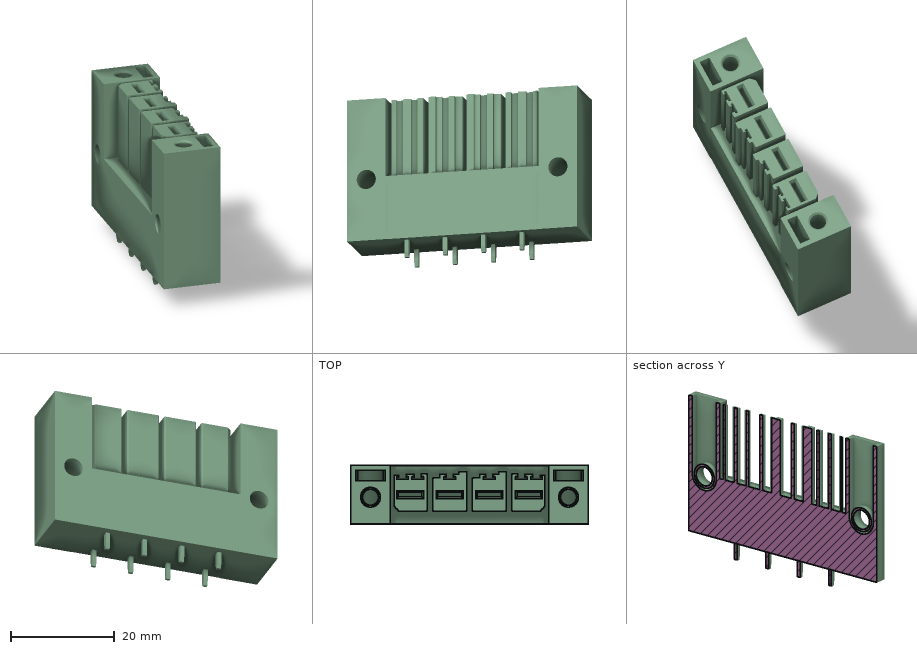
import cadquery as cq

ways = 4
overall_length = 45.7
pitch = overall_length / (ways + 2)
depth = 11.4
overall_height = 31.5
housing_height = 28.05
base_height = 12.57
back_relief = 0.1

cross_hole_dia = 3.8
cross_hole_height = 12.1
sleeve_radius = 2.45
screw_hole_dia = 3.1
screw_hole_y = -0.5
screw_hole_chamfer = 0.345
nut_pocket_width = 5.7
nut_pocket_depth = 2.1
nut_pocket_inset = 0.95

post_width = 6.55
outer_post_edge = 3.05
post_front = -3.25
post_front_chamfer = 0.95
post_corner_radius = 0.27
coding_corner_radius = 0.2

coding_groove_floor = 2.93
coding_lip_tip = 3.35
coding_lip_root = 3.5
coding_wall_chamfer = 0.2
coding_neck_width = 1.35
coding_groove_width = 2.3
coding_middle = 3.9
outer_groove_offset = 1.45
outer_post_low = 3.75
outer_post_high = 4.02
inner_post_low = 3.2
inner_post_high = 4.45
inner_post_low_step = -1.87
inner_post_high_step = 1.8

slot_length = 5.2
slot_width = 1.55
slot_lead_in = 0.3
slot_lead_in_depth = 0.75
slot_depth = 4.55

pin_thickness = 0.82
pin_width = 1.0
pin_row_spacing = 7.5
pin_tip_length = 1.05
pin_tip_width = 0.6

back = depth / 2
post_half_width = post_width / 2
contact_xs = [(i - (ways - 1) / 2) * pitch for i in range(ways)]
end_block_xs = [side * (overall_length - pitch) / 2 for side in (-1, 1)]
pin_length = overall_height - housing_height


def block(x_size, y_min, y_max, z_min, z_max, x_center=0.0):
    """Upright box centred on x_center, given by its limits in Y and Z."""
    return (
        cq.Workplane("XY")
        .box(x_size, y_max - y_min, z_max - z_min, centered=(True, False, False))
        .translate((x_center, y_min, z_min))
    )


def y_cylinder(x, radius, y_min=-back, y_max=back):
    """Cylinder along Y on the cross hole axis, through the whole depth unless limited in Y."""
    return (
        cq.Workplane("XZ", origin=(x, y_max, cross_hole_height))
        .circle(radius)
        .extrude(y_max - y_min)
    )


def end_block(x):
    """End block with a nut pocket, a chamfered screw hole and a cross hole."""
    body = block(pitch, -back, back, 0, housing_height, x)
    pocket_back = back - nut_pocket_inset
    pocket_front = pocket_back - nut_pocket_depth
    pocket = block(
        nut_pocket_width, pocket_front, pocket_back, cross_hole_height, housing_height, x
    ).union(y_cylinder(x, nut_pocket_width / 2, pocket_front, pocket_back))
    screw_hole = (
        cq.Workplane("XY", origin=(x, screw_hole_y, cross_hole_height))
        .circle(screw_hole_dia / 2)
        .extrude(housing_height - cross_hole_height)
    )
    chamfer_cone = (
        cq.Workplane("XY", origin=(x, screw_hole_y, housing_height))
        .circle(screw_hole_dia / 2 + screw_hole_chamfer)
        .workplane(offset=-screw_hole_chamfer)
        .circle(screw_hole_dia / 2)
        .loft()
    )
    openings = pocket.union(screw_hole).cut(y_cylinder(x, sleeve_radius))
    return body.cut(openings).cut(chamfer_cone).cut(y_cylinder(x, cross_hole_dia / 2))


def upright_prism(outline, x):
    """Prism of the given outline at x, from the base up to the housing top."""
    return (
        cq.Workplane("XY", origin=(x, 0, base_height))
        .polyline(outline)
        .close()
        .extrude(housing_height - base_height)
    )


def coding_groove(x):
    """Undercut groove in the back of a post: narrow neck, wide floor, hooked lips."""
    neck = coding_neck_width / 2
    wide = coding_groove_width / 2
    bevel = coding_wall_chamfer
    outline = [
        (-wide, coding_groove_floor),
        (wide, coding_groove_floor),
        (wide, coding_lip_root - bevel),
        (wide - bevel, coding_lip_root),
        (neck, coding_lip_tip),
        (neck, back),
        (-neck, back),
        (-neck, coding_lip_tip),
        (-wide + bevel, coding_lip_root),
        (-wide, coding_lip_root - bevel),
    ]
    return upright_prism(outline, x)


def round_edge(post, x, y, radius):
    """Round the vertical edge of a post that stands at the given corner."""
    edge_middle = (x, y, (base_height + housing_height) / 2)
    return post.edges(cq.NearestToPointSelector(edge_middle)).fillet(radius)


def outer_post(x):
    """Post next to an end block: two coding grooves and one large front chamfer."""
    outline = [
        (-outer_post_edge + post_front_chamfer, post_front),
        (post_half_width, post_front),
        (post_half_width, outer_post_high),
        (outer_groove_offset, outer_post_high),
        (outer_groove_offset, coding_middle),
        (-outer_groove_offset, coding_middle),
        (-outer_groove_offset, outer_post_low),
        (-outer_post_edge, outer_post_low),
        (-outer_post_edge, post_front + post_front_chamfer),
    ]
    post = upright_prism(outline, 0)
    post = round_edge(post, post_half_width, post_front, post_corner_radius)
    post = round_edge(post, post_half_width, outer_post_high, coding_corner_radius)
    for groove_x in (-outer_groove_offset, outer_groove_offset):
        post = post.cut(coding_groove(groove_x))
    if x > 0:
        post = post.mirror("YZ")
    return post.translate((x, 0, 0))


def inner_post(x):
    """Middle post: one coding groove between a low and a high shoulder."""
    outline = [
        (-post_half_width, post_front),
        (post_half_width, post_front),
        (post_half_width, inner_post_high),
        (inner_post_high_step, inner_post_high),
        (inner_post_high_step, coding_middle),
        (inner_post_low_step, coding_middle),
        (inner_post_low_step, inner_post_low),
        (-post_half_width, inner_post_low),
    ]
    post = upright_prism(outline, 0)
    for front_x in (-post_half_width, post_half_width):
        post = round_edge(post, front_x, post_front, post_corner_radius)
    for high_x in (inner_post_high_step, post_half_width):
        post = round_edge(post, high_x, inner_post_high, coding_corner_radius)
    post = round_edge(post, -post_half_width, inner_post_low, coding_corner_radius)
    return post.cut(coding_groove(0)).translate((x, 0, 0))


def contact_slot(x):
    """Rectangular contact slot with a tapered lead-in."""
    inner_length = slot_length - 2 * slot_lead_in
    inner_width = slot_width - 2 * slot_lead_in
    lead_in = (
        cq.Workplane("XY", origin=(x, 0, housing_height))
        .rect(slot_length, slot_width)
        .workplane(offset=-slot_lead_in_depth)
        .rect(inner_length, inner_width)
        .loft()
    )
    shaft = block(
        inner_length, -inner_width / 2, inner_width / 2, housing_height - slot_depth, housing_height, x
    )
    return lead_in.union(shaft)


def make_housing():
    body = block(overall_length - 2 * pitch, -back, back - back_relief, 0, base_height)
    for x in end_block_xs:
        body = body.union(end_block(x))
    for x in contact_xs:
        is_outer = x in (contact_xs[0], contact_xs[-1])
        body = body.union(outer_post(x) if is_outer else inner_post(x))
        body = body.cut(contact_slot(x))
    return body


def make_pin(x, y):
    """Flat pin hanging from the housing underside, its tip tapered in Y."""
    outline = [
        (-pin_width / 2, 0),
        (pin_width / 2, 0),
        (pin_width / 2, pin_tip_length - pin_length),
        (pin_tip_width / 2, -pin_length),
        (-pin_tip_width / 2, -pin_length),
        (-pin_width / 2, pin_tip_length - pin_length),
    ]
    return (
        cq.Workplane("YZ", origin=(x, y, 0))
        .polyline(outline)
        .close()
        .extrude(pin_thickness / 2, both=True)
    )


housing = make_housing()
pins = [make_pin(x, side * pin_row_spacing / 2) for x in contact_xs for side in (-1, 1)]

result = cq.Compound.makeCompound([housing.val(), *[pin.val() for pin in pins]])